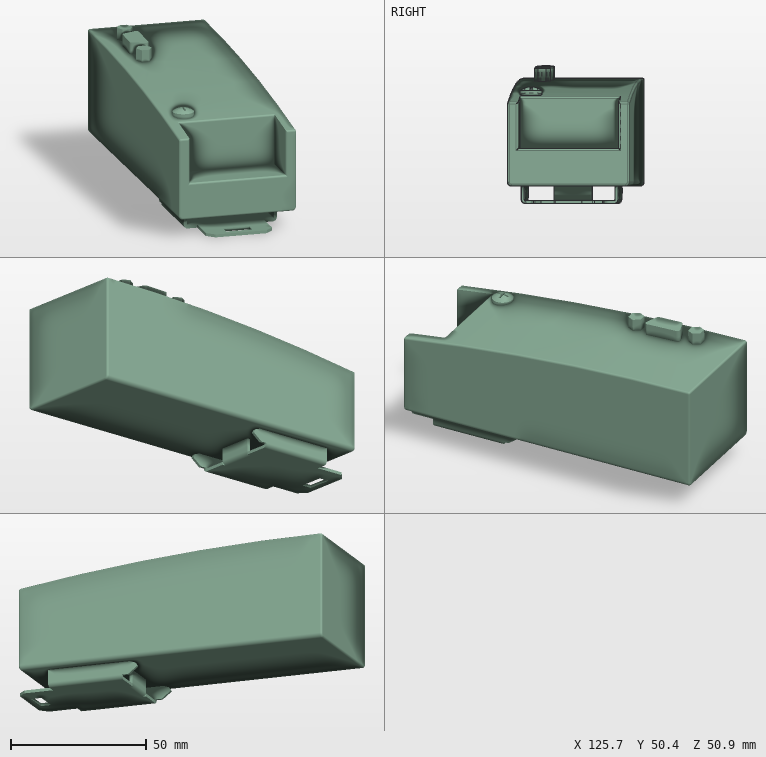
import cadquery as cq
import math

TURN = -2.6

LENGTH = 120.1
WIDTH = 45.1
MIDDLE_Y = WIDTH / 2
TALL = 40.0
SHORT = 31.0
TOP_DROP = TALL - SHORT
TOP_RADIUS = (LENGTH**2 + TOP_DROP**2) / (2 * TOP_DROP)
EDGE_RADIUS = 0.8
BOTTOM_RADIUS = 1.5

NOTCH_LENGTH = 15.0
NOTCH_WALL = 4.0
NOTCH_FLOOR = 14.0

CONNECTOR_X = 28.9
CONNECTOR_Y = 9.7
CONNECTOR_WIDTH = 15.3
CONNECTOR_DEPTH = 6.8
CONNECTOR_TAPER = 20
CONNECTOR_CORNER = 1.1
POST_Y = 9.4
POST_SPACING = 25.1
POST_FLATS = 5.2
STAND_HEIGHT = 4.5
ROOT_DEPTH = 1.3

SCREW_X = 98.6
SCREW_Y = 7.8
HEAD_DIAMETER = 8.0
HEAD_RIM = 1.4
HEAD_HEIGHT = 2.8
HEAD_SEAT = 0.5
CROSS_SPAN = 4.8
CROSS_ARM = 0.8
CROSS_DEPTH = 1.3

SHEET = 1.1
BEND_RADIUS = 1.5
INNER_BEND_RADIUS = BEND_RADIUS - SHEET
CLIP_WIDTH = 35.8
CLIP_DEPTH = 6.4
BEND_TOP_Z = BEND_RADIUS - CLIP_DEPTH
PLATE_START = 80.9
PLATE_END = 110.2
FLANGE_TIP = (74.9, -2.1)
FLANGE_NOSE = (75.6, -0.8)
FLANGE_TOP_START = 77.8
FLANGE_SHOULDER = 78.5
TAB_WIDTH = 14.2
TONGUE_WIDTH = 25.5
TONGUE_END = LENGTH + 4.3
TONGUE_CORNER = 2.9
SLOT_LENGTH = 9.9
SLOT_WIDTH = 4.0
SLOT_RIM = 2.6


def top_slope(x):
    """Downward angle of the arched top at x, in radians."""
    return math.asin(x / TOP_RADIUS)


def top_height(x):
    """Height of the arched top at x."""
    return TALL - TOP_RADIUS * (1 - math.cos(top_slope(x)))


def connector_root(y):
    """Workplane under the top at the connector, parallel to the top there."""
    slope = top_slope(CONNECTOR_X)
    touching = cq.Plane(
        origin=(CONNECTOR_X, y, top_height(CONNECTOR_X)),
        xDir=(math.cos(slope), 0, -math.sin(slope)),
        normal=(math.sin(slope), 0, math.cos(slope)),
    )
    return cq.Workplane(touching).workplane(offset=-ROOT_DEPTH)


def box_at(x_start, x_end, width, z_start, z_end):
    """Box between two x and two z values, centred across the device."""
    return (
        cq.Workplane("XY")
        .box(x_end - x_start, width, z_end - z_start, centered=(False, True, False))
        .translate((x_start, MIDDLE_Y, z_start))
    )


def make_shell():
    """Arched box with rounded edges and a notch in its low end."""
    halfway = LENGTH / 2
    shell = (
        cq.Workplane("XZ")
        .lineTo(LENGTH, 0)
        .lineTo(LENGTH, SHORT)
        .threePointArc((halfway, top_height(halfway)), (0, TALL))
        .close()
        .extrude(-WIDTH)
    )
    shell = shell.edges("%CIRCLE").fillet(EDGE_RADIUS)
    shell = shell.edges("|X and <Z").fillet(BOTTOM_RADIUS)

    notch_start = LENGTH - NOTCH_LENGTH
    shell = shell.cut(box_at(notch_start, LENGTH, WIDTH - 2 * NOTCH_WALL, NOTCH_FLOOR, TALL))
    shell = shell.faces("<X or >X").edges().fillet(EDGE_RADIUS)
    notch_rim = cq.selectors.NearestToPointSelector((notch_start, MIDDLE_Y, top_height(notch_start)))
    return shell.edges("|Y").edges(notch_rim).fillet(EDGE_RADIUS)


def make_connector():
    """Block with a D-shaped outline, wider toward +Y."""
    half_depth = CONNECTOR_DEPTH / 2
    half_wide = CONNECTOR_WIDTH / 2
    half_narrow = half_wide - CONNECTOR_DEPTH * math.tan(math.radians(CONNECTOR_TAPER))
    outline = [
        (-half_narrow, -half_depth),
        (half_narrow, -half_depth),
        (half_wide, half_depth),
        (-half_wide, half_depth),
    ]
    root = connector_root(CONNECTOR_Y)
    block = root.polyline(outline).close().extrude(ROOT_DEPTH + STAND_HEIGHT)
    upright = cq.selectors.ParallelDirSelector(root.plane.zDir)
    return block.edges(upright).fillet(CONNECTOR_CORNER)


def make_posts():
    """Two hexagonal posts, each with a corner toward -Y and one toward +Y."""
    across_corners = POST_FLATS / math.cos(math.pi / 6)
    return (
        connector_root(POST_Y)
        .transformed(rotate=(0, 0, 90))
        .pushPoints([(0, -POST_SPACING / 2), (0, POST_SPACING / 2)])
        .polygon(6, across_corners)
        .extrude(ROOT_DEPTH + STAND_HEIGHT)
    )


def make_screw():
    """Domed head with a cross recess."""
    radius = HEAD_DIAMETER / 2
    dome_rise = HEAD_HEIGHT - HEAD_RIM
    dome_radius = (radius**2 + dome_rise**2) / (2 * dome_rise)
    mid_dome = radius / 2
    mid_dome_z = HEAD_HEIGHT - dome_radius + math.sqrt(dome_radius**2 - mid_dome**2)
    base = (SCREW_X, SCREW_Y, top_height(SCREW_X))
    head = (
        cq.Workplane("XZ", origin=base)
        .moveTo(0, -HEAD_SEAT)
        .lineTo(radius, -HEAD_SEAT)
        .lineTo(radius, HEAD_RIM)
        .threePointArc((mid_dome, mid_dome_z), (0, HEAD_HEIGHT))
        .close()
        .revolve(360, (0, 0), (0, 1))
    )
    head_top = cq.Workplane("XY", origin=base).workplane(offset=HEAD_HEIGHT)
    for x_size, y_size in ((CROSS_SPAN, CROSS_ARM), (CROSS_ARM, CROSS_SPAN)):
        head = head.cut(head_top.rect(x_size, y_size).extrude(-CROSS_DEPTH))
    return head


def make_channel():
    """Bottom plate with a flange bent up along each side; the flange tips are pointed."""
    tip_x = FLANGE_TIP[0]
    outer = box_at(tip_x, PLATE_END, CLIP_WIDTH, -CLIP_DEPTH, 0)
    outer = outer.edges("|X and <Z").fillet(BEND_RADIUS)
    inner = box_at(tip_x, PLATE_END, CLIP_WIDTH - 2 * SHEET, SHEET - CLIP_DEPTH, 0)
    inner = inner.edges("|X and <Z").fillet(INNER_BEND_RADIUS)
    side_outline = (
        cq.Workplane("XZ")
        .moveTo(PLATE_END, -CLIP_DEPTH)
        .lineTo(PLATE_START, -CLIP_DEPTH)
        .lineTo(PLATE_START, BEND_TOP_Z)
        .lineTo(FLANGE_SHOULDER, BEND_TOP_Z)
        .lineTo(*FLANGE_TIP)
        .lineTo(*FLANGE_NOSE)
        .lineTo(FLANGE_TOP_START, 0)
        .lineTo(PLATE_END, 0)
        .close()
        .extrude(-WIDTH)
    )
    return outer.cut(inner).intersect(side_outline)


def make_tab():
    """Strip bent up from the start of the plate to the housing."""
    bend_end = PLATE_START + BEND_RADIUS
    return (
        cq.Workplane("XZ", origin=(0, MIDDLE_Y, 0))
        .moveTo(PLATE_START, 0)
        .lineTo(PLATE_START, BEND_TOP_Z)
        .radiusArc((bend_end, -CLIP_DEPTH), -BEND_RADIUS)
        .lineTo(bend_end, SHEET - CLIP_DEPTH)
        .radiusArc((PLATE_START + SHEET, BEND_TOP_Z), INNER_BEND_RADIUS)
        .lineTo(PLATE_START + SHEET, 0)
        .close()
        .extrude(TAB_WIDTH / 2, both=True)
    )


def make_tongue():
    """Slotted flat end of the sheet with its two outer corners cut off."""
    plate_top = SHEET - CLIP_DEPTH
    tongue = box_at(PLATE_END, TONGUE_END, TONGUE_WIDTH, -CLIP_DEPTH, plate_top)
    tongue = tongue.edges("|Z and >X").chamfer(TONGUE_CORNER)
    slot_end = TONGUE_END - SLOT_RIM
    return tongue.cut(box_at(slot_end - SLOT_WIDTH, slot_end, SLOT_LENGTH, -CLIP_DEPTH, plate_top))


def make_clip():
    """Channel, tab and tongue as one sheet; the plate gives way to the bend of the tab."""
    tab_bend = box_at(PLATE_START, PLATE_START + BEND_RADIUS, TAB_WIDTH, -CLIP_DEPTH, BEND_TOP_Z)
    return make_channel().cut(tab_bend).union(make_tab()).union(make_tongue())


def turned(body):
    """The solid of a body, turned to its final direction."""
    return body.rotate((0, 0, 0), (0, 0, 1), TURN).solids().val()


screw = make_screw()
housing = make_shell().union(make_connector()).union(make_posts()).cut(screw)
clip = make_clip()

result = cq.Compound.makeCompound([turned(housing), turned(screw), turned(clip)])